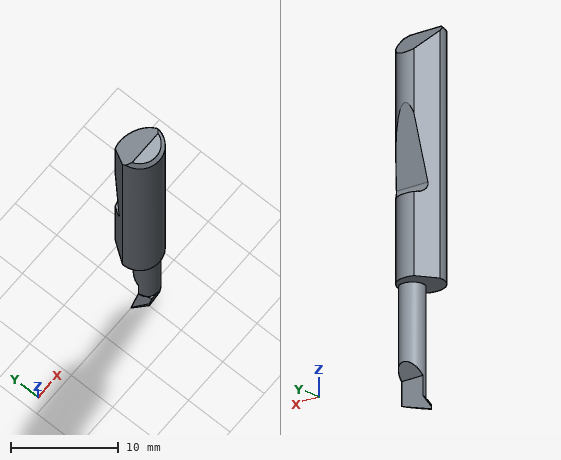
import cadquery as cq
import math

total_length = 38.1
shank_diameter = 4.75
shank_radius = shank_diameter / 2
shank_bottom = 12.7
top_chamfer = 0.4
top_bevel_edge_y = -0.65

flat_angle = 145.0
flat_distance = 2.02

notch_bottom = 21.05
notch_top = 30.05
notch_floor_angle = 9.3
notch_corner_radius = 0.88

neck_diameter = 2.6
neck_radius = neck_diameter / 2
neck_x = shank_radius - neck_radius
rake_face_top = 3.6

tip_x = -1.25
tip_height = 1.55
nose_height = 0.2
end_angle = 17.0
end_relief = 10.0
flank_relief = 15.0
nose_relief = 40.0

CUTTER_SIZE = 2 * total_length


def cut_beyond(body, point, normal):
    """Remove everything on the side of a plane that its normal points to."""
    cutter = cq.Workplane(cq.Plane(origin=point, normal=normal))
    cutter = cutter.rect(CUTTER_SIZE, CUTTER_SIZE).extrude(CUTTER_SIZE)
    return body.cut(cutter)


def cut_relief(body, edge_start, edge_angle, relief):
    """Trim below or left of a rake-face edge, leaning inward towards -Y."""
    edge = math.radians(edge_angle)
    lean = math.radians(relief)
    normal = (math.sin(edge) * math.cos(lean), -math.sin(lean), -math.cos(edge) * math.cos(lean))
    return cut_beyond(body, (edge_start[0], 0, edge_start[1]), normal)


def make_notch():
    """Prism along X with a sloped floor and a wall square to that floor."""
    tilt = math.radians(notch_floor_angle)
    opening = notch_top - notch_bottom
    floor_length = opening * math.cos(tilt)
    corner_y = shank_radius - floor_length * math.sin(tilt)
    corner_z = notch_top - floor_length * math.cos(tilt)
    reach_y = shank_diameter * math.cos(tilt)
    reach_z = -shank_diameter * math.sin(tilt)
    return (
        cq.Workplane("YZ")
        .polyline([
            (corner_y, corner_z),
            (shank_radius, notch_top),
            (shank_radius + reach_y, notch_top + reach_z),
            (corner_y + reach_y, corner_z + reach_z),
        ])
        .close()
        .extrude(shank_radius, both=True)
        .edges(cq.selectors.NearestToPointSelector((0, corner_y, corner_z)))
        .fillet(notch_corner_radius)
    )


def make_shank():
    shank = (
        cq.Workplane("XY", origin=(0, 0, shank_bottom))
        .circle(shank_radius)
        .extrude(total_length - shank_bottom)
        .faces(">Z")
        .chamfer(top_chamfer)
    )
    shank = cut_beyond(shank, (0, top_bevel_edge_y, total_length), (0, 1, 1))
    angle = math.radians(flat_angle)
    flat_normal = (math.cos(angle), math.sin(angle), 0)
    flat_point = (flat_distance * flat_normal[0], flat_distance * flat_normal[1], total_length / 2)
    shank = cut_beyond(shank, flat_point, flat_normal)
    return shank.cut(make_notch())


def make_neck():
    neck = (
        cq.Workplane("XY", origin=(neck_x, 0, 0))
        .circle(neck_radius)
        .extrude(shank_bottom)
    )
    rake_clearance = (
        cq.Workplane("YZ")
        .polyline([
            (0, 0),
            (0, rake_face_top),
            (shank_radius, rake_face_top + shank_radius),
            (shank_radius, 0),
        ])
        .close()
        .extrude(shank_diameter, both=True)
    )
    return neck.cut(rake_clearance)


def make_tip_blank():
    """Block on the cutting side, from the tip to the neck axis."""
    return cq.Workplane("XY").box(
        neck_x - tip_x, neck_radius, tip_height, centered=False
    ).translate((tip_x, -neck_radius, 0))


def make_cutting_end():
    """Neck with the relieved cutting tip in place of its lower -X side."""
    blank = make_tip_blank()
    neck_left = neck_x - neck_radius
    flank_angle = math.degrees(math.atan2(nose_height - tip_height, tip_x - neck_left))
    tip = cut_relief(blank, (tip_x, nose_height), flank_angle, flank_relief)
    tip = cut_relief(tip, (tip_x, nose_height), -90, nose_relief)
    cutting_end = make_neck().cut(blank).union(tip)
    return cut_relief(cutting_end, (tip_x, 0), end_angle, end_relief)


result = make_shank().union(make_cutting_end()).clean()